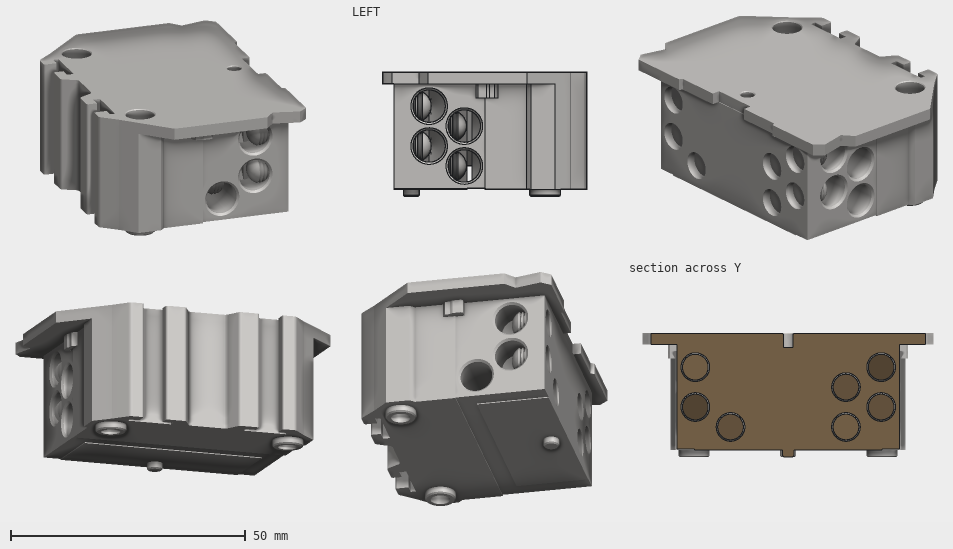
import cadquery as cq
import math

height = 25.0
plate_thick = 2.5
plate_underside = height - plate_thick
half_width = 31.0
half_length = 21.75
flank_x = 24.0
front_flank_x = 25.0
flank_step_y = -8.9
back_y = 19.35
notch_floor_y = 19.2
shoulder_y = -9.0
corner_x = 21.7
corner_y = shoulder_y - (half_width - corner_x)

relief = 0.2
relief_front_y = -0.1
rear_pad_front_y = 3.75
rear_pad_half_width = 20.0
terminal_face_x = flank_x - relief

peg_height = 1.5
peg_chamfer = 0.3
mount_x = 20.0
mount_y = -12.85
mount_diameter = 6.6
mount_socket_depth = 2.5
mount_bore_diameter = 4.15
locator_y = 15.65
locator_diameter = 3.4
locator_depth = 3.0
socket_chamfer = 0.2

tab_height = 3.0
tab_x = 25.55
tab_rear_y = 1.85
tab_rear_chamfer = 0.4
tab_step_y = -0.4
tab_low_rear_y = -1.05
tab_low_front_y = -2.1
tab_front_y = -2.8

entry_radius = 3.45
entry_mouth_radius = 3.9
entry_chamfer = 0.45
entry_point_length = entry_radius / math.tan(math.radians(118 / 2))
entry_pitch = 4.25
lowest_entry_z = 5.0
screw_radius = 3.0
screw_tip_offset = 0.45
dome_height = 1.85
thread_pitch = 0.75
thread_depth = 0.4
screw_end_y = back_y - 2.0
slot_width = 1.0

back_row = {
    "y": 11.85,
    "screw_depth": 4.0,
    "flat_end_y": 11.85,
    "heights": [lowest_entry_z + entry_pitch, lowest_entry_z + 3 * entry_pitch],
}
front_row = {
    "y": 4.35,
    "screw_depth": 11.5,
    "flat_end_y": rear_pad_front_y,
    "heights": [lowest_entry_z, lowest_entry_z + 2 * entry_pitch],
}
LEFT, RIGHT = -1, 1
entries = [(LEFT, row, z) for row in (back_row, front_row) for z in row["heights"]]
entries += [(RIGHT, back_row, z) for z in back_row["heights"]]
entries += [(RIGHT, front_row, lowest_entry_z)]


def box(x0, x1, y0, y1, z0, z1):
    return cq.Workplane("XY").box(x1 - x0, y1 - y0, z1 - z0, centered=False).translate((x0, y0, z0))


def both_sides(shape):
    return shape.union(shape.mirror("YZ"))


def half_profile(points, thickness, z):
    return cq.Workplane("XY").workplane(offset=z).polyline(points).close().extrude(thickness)


def rounded_vertical_edge(shape, x, y, radius):
    margin = 0.05
    corner = cq.selectors.BoxSelector(
        (x - margin, y - margin, -height), (x + margin, y + margin, 2 * height), boundingbox=False
    )
    return shape.edges("|Z").edges(corner).fillet(radius)


channel_y = -18.1
channel_half_width = 4.2
inner_foot_y = -21.5
inner_foot_x = 6.05
inner_foot_tip_x = 10.55
inner_lip_y = -19.25
slot_inner_x = 8.2
slot_floor_y = -17.75
slot_outer_x = 17.9
outer_lip_y = -18.9
outer_foot_tip_x = 15.7
outer_foot_x = 18.7
foot_points = [
    (0, channel_y),
    (channel_half_width, channel_y),
    (inner_foot_x, inner_foot_y),
    (inner_foot_tip_x, inner_foot_y),
    (inner_foot_tip_x, inner_lip_y),
    (slot_inner_x, inner_lip_y),
    (slot_inner_x, slot_floor_y),
    (slot_outer_x, slot_floor_y),
    (slot_outer_x, outer_lip_y),
    (outer_foot_tip_x, outer_lip_y),
    (outer_foot_tip_x, -half_length),
    (outer_foot_x, -half_length),
    (corner_x, corner_y),
]
foot_rounds = [
    (channel_half_width, channel_y, 0.9),
    (inner_foot_x, inner_foot_y, 0.7),
    (inner_foot_tip_x, inner_foot_y, 0.5),
    (outer_foot_tip_x, -half_length, 0.4),
    (outer_foot_x, -half_length, 1.0),
]
side_top_y = 12.05
waist_x = 28.6
waist_y = 14.05
ear_x = 30.0
ear_y = 19.8
ear_corner_x = 28.35
rear_step_x = 15.25
rear_step_inner_x = 14.85
rear_step_y = 21.0
notch_half_width = 5.1
plate_rear_points = [
    (half_width, shoulder_y),
    (half_width, side_top_y),
    (waist_x, waist_y),
    (ear_x, ear_y),
    (ear_corner_x, half_length),
    (rear_step_x, half_length),
    (rear_step_inner_x, rear_step_y),
    (notch_half_width, rear_step_y),
    (notch_half_width, notch_floor_y),
    (0, notch_floor_y),
]
flank_chamfer = front_flank_x - flank_x
body_rear_points = [
    (front_flank_x, shoulder_y - (half_width - front_flank_x)),
    (front_flank_x, flank_step_y - flank_chamfer),
    (flank_x, flank_step_y),
    (flank_x, back_y),
    (0, back_y),
]


def foot_and(rear_points, thickness, z):
    half = half_profile(foot_points + rear_points, thickness, z)
    for x, y, radius in foot_rounds:
        half = rounded_vertical_edge(half, x, y, radius)
    return both_sides(half)


def rear_relief():
    under = box(-half_width, half_width, relief_front_y, back_y, 0, relief)
    under = under.cut(
        box(-rear_pad_half_width, rear_pad_half_width, rear_pad_front_y, back_y, 0, relief)
    )
    flank = box(terminal_face_x, flank_x, relief_front_y, back_y, 0, plate_underside)
    return under.union(both_sides(flank))


def side_tab():
    low_x = tab_x - tab_rear_chamfer
    points = [
        (terminal_face_x, tab_rear_y),
        (low_x, tab_rear_y),
        (tab_x, tab_rear_y - tab_rear_chamfer),
        (tab_x, tab_step_y),
        (low_x, tab_low_rear_y),
        (low_x, tab_low_front_y),
        (flank_x, tab_front_y),
        (terminal_face_x, tab_front_y),
    ]
    return half_profile(points, tab_height, plate_underside - tab_height)


def peg(x, y, diameter):
    solid = cq.Workplane("XY").circle(diameter / 2).extrude(-peg_height)
    return solid.faces("<Z").chamfer(peg_chamfer).translate((x, y, 0))


def mount_bore():
    socket_radius = mount_diameter / 2
    bore_radius = mount_bore_diameter / 2
    socket_floor = height - mount_socket_depth
    outline = [
        (0, height),
        (socket_radius, height),
        (socket_radius - socket_chamfer, height - socket_chamfer),
        (socket_radius - socket_chamfer, socket_floor),
        (bore_radius, -peg_height),
        (0, -peg_height),
    ]
    bore = cq.Workplane("XZ").polyline(outline).close().revolve(360, (0, 0), (0, 1))
    return bore.translate((mount_x, mount_y, 0))


def locator_socket():
    socket = cq.Workplane("XY").circle(locator_diameter / 2 - socket_chamfer).extrude(-locator_depth)
    lead_in = (
        cq.Workplane("XY")
        .circle(locator_diameter / 2)
        .workplane(offset=-socket_chamfer)
        .circle(locator_diameter / 2 - socket_chamfer)
        .loft()
    )
    return socket.union(lead_in).translate((0, locator_y, height))


def screw_x(row):
    return terminal_face_x - row["screw_depth"]


def entry_end_x(row):
    return screw_x(row) - entry_radius


def on_side(shape, side):
    return shape.mirror("YZ") if side == LEFT else shape


def wire_entry(side, row, z):
    """Chamfered round bore with a flat end behind the screw and a drill point in front of it."""
    end_x = entry_end_x(row)
    bore_outline = [
        (terminal_face_x, 0),
        (terminal_face_x, entry_mouth_radius),
        (terminal_face_x - entry_chamfer, entry_radius),
        (end_x, entry_radius),
        (end_x, 0),
    ]
    point_outline = [(end_x, 0), (end_x, entry_radius), (end_x - entry_point_length, 0)]
    axis = ((0, 0), (1, 0))
    bore = cq.Workplane("XY").polyline(bore_outline).close().revolve(360, *axis)
    point = cq.Workplane("XY").polyline(point_outline).close().revolve(360, *axis)
    flat_y = row["flat_end_y"] - row["y"]
    point = point.cut(box(0, half_width, flat_y, half_width, -height, height))
    return on_side(bore.union(point).translate((0, row["y"], z)), side)


def screw_bore(side, row, z):
    length = back_y - row["y"]
    bore = cq.Workplane("XZ").circle(screw_radius).extrude(-length)
    return on_side(bore.translate((screw_x(row), row["y"], z)), side)


def front_slots():
    """Slots deepening the front entries; only the lower half of the low one runs right through."""
    end_x = entry_end_x(front_row)
    low_z, high_z = front_row["heights"]
    slot_back_y = front_row["flat_end_y"]
    slot_front_y = slot_back_y - slot_width
    passage = box(-end_x, end_x, slot_front_y, slot_back_y, low_z - entry_radius, low_z)

    def wedge(points):
        return cq.Workplane("XZ", (0, slot_back_y, 0)).polyline(points).close().extrude(slot_width)

    roof_slope = wedge(
        [(-end_x, low_z), (-end_x, low_z + entry_radius), (entry_point_length - end_x, low_z)]
    )
    floor_slope = wedge(
        [
            (-end_x, high_z - entry_radius),
            (-end_x, high_z + entry_radius),
            (2 * entry_radius - end_x, high_z + entry_radius),
        ]
    )
    return passage.union(both_sides(roof_slope)).union(floor_slope)


def make_housing():
    housing = foot_and(body_rear_points, plate_underside, 0)
    housing = housing.union(foot_and(plate_rear_points, plate_thick, plate_underside))
    housing = housing.cut(rear_relief()).union(both_sides(side_tab()))
    for x, y, diameter in (
        (-mount_x, mount_y, mount_diameter),
        (mount_x, mount_y, mount_diameter),
        (0, locator_y, locator_diameter),
    ):
        housing = housing.union(peg(x, y, diameter))
    housing = housing.cut(both_sides(mount_bore())).cut(locator_socket())
    for side, row, z in entries:
        housing = housing.cut(wire_entry(side, row, z)).cut(screw_bore(side, row, z))
    return housing.cut(front_slots())


def make_terminal_screw(side, row, z):
    """Grub screw along Y with V-grooved thread and a domed tip pointing to -Y."""
    tip_y = row["y"] - screw_tip_offset
    length = screw_end_y - tip_y
    dome_radius = (screw_radius**2 + dome_height**2) / (2 * dome_height)
    mid_height = dome_height / 2
    mid_radius = math.sqrt(dome_radius**2 - (dome_radius - mid_height) ** 2)
    outline = (
        cq.Workplane("XY")
        .moveTo(0, 0)
        .threePointArc((mid_radius, mid_height), (screw_radius, dome_height))
    )
    turns = int((length - dome_height) / thread_pitch)
    for turn in range(turns):
        start = dome_height + turn * thread_pitch
        outline = outline.lineTo(screw_radius - thread_depth, start + thread_pitch / 2)
        outline = outline.lineTo(screw_radius, start + thread_pitch)
    outline = outline.lineTo(screw_radius, length).lineTo(0, length).close()
    screw = outline.revolve(360, (0, 0), (0, 1))
    return on_side(screw.translate((screw_x(row), tip_y, z)), side)


housing = make_housing()
terminal_screws = [make_terminal_screw(side, row, z) for side, row, z in entries]

result = cq.Compound.makeCompound([housing.val(), *[screw.val() for screw in terminal_screws]])